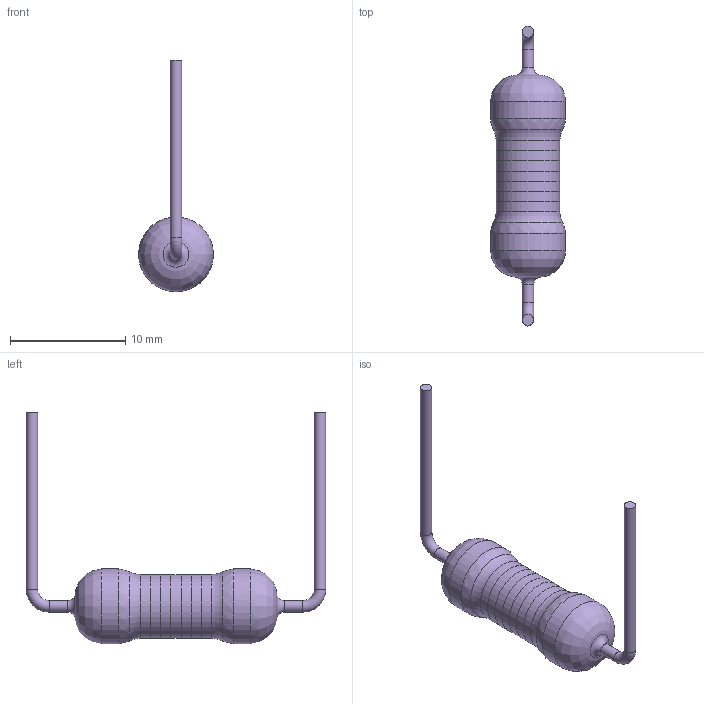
import cadquery as cq
import math


cap_radius = 6.5 / 2
body_half_length = 8.75
cap_inner_y = 5.0
dome_radius = 2.275
shoulder_radius = 2.0

core_radius = 5.525 / 2
band_radius = 5.535 / 2
band_count = 4

wire_radius = 1.0 / 2
lead_spacing = 25.0
bend_radius = 1.5
lead_top_z = 16.85
meniscus_radius = 0.65

step = cap_radius - core_radius
half_shoulder = math.sqrt(shoulder_radius * step - (step / 2) ** 2)
shoulder_middle_y = cap_inner_y - half_shoulder
core_half_length = cap_inner_y - 2 * half_shoulder
shoulder_angle = math.asin(half_shoulder / shoulder_radius)
arc_middle_run = shoulder_radius * math.sin(shoulder_angle / 2)
arc_middle_drop = shoulder_radius * (1 - math.cos(shoulder_angle / 2))

band_width = 2 * core_half_length / (2 * band_count - 1)

dome_centre_r = cap_radius - dome_radius
dome_centre_y = body_half_length - dome_radius
flare_centre_r = wire_radius + meniscus_radius
centre_distance = dome_radius + meniscus_radius
centre_offset_r = flare_centre_r - dome_centre_r
flare_centre_y = dome_centre_y + math.sqrt(centre_distance**2 - centre_offset_r**2)
tangent_angle = math.asin(centre_offset_r / centre_distance)


def on_circle(centre, radius, angle):
    """Point (r, y) on a circle; the angle is measured from +Y towards +r."""
    return (centre[0] + radius * math.sin(angle), centre[1] + radius * math.cos(angle))


def end_cap():
    """Body of revolution from the +Y end of the core to the +Y lead."""
    dome_centre = (dome_centre_r, dome_centre_y)
    flare_centre = (flare_centre_r, flare_centre_y)
    dome_middle = on_circle(dome_centre, dome_radius, (tangent_angle + math.pi / 2) / 2)
    dome_end = on_circle(dome_centre, dome_radius, tangent_angle)
    flare_start_angle = math.pi + tangent_angle
    flare_end_angle = 3 * math.pi / 2
    flare_middle_angle = (flare_start_angle + flare_end_angle) / 2
    flare_middle = on_circle(flare_centre, meniscus_radius, flare_middle_angle)
    profile = (
        cq.Workplane("XY")
        .moveTo(0, core_half_length)
        .lineTo(core_radius, core_half_length)
        .threePointArc(
            (core_radius + arc_middle_drop, core_half_length + arc_middle_run),
            (core_radius + step / 2, shoulder_middle_y),
        )
        .threePointArc(
            (cap_radius - arc_middle_drop, cap_inner_y - arc_middle_run),
            (cap_radius, cap_inner_y),
        )
        .lineTo(cap_radius, dome_centre_y)
        .threePointArc(dome_middle, dome_end)
        .threePointArc(flare_middle, (wire_radius, flare_centre_y))
        .lineTo(0, flare_centre_y)
        .close()
    )
    return profile.revolve(360, (0, 0, 0), (0, 1, 0))


def disc(radius, start_y, width):
    """Solid cylinder along +Y, centred on the body axis."""
    return cq.Workplane("XZ", origin=(0, start_y, 0)).circle(radius).extrude(-width)


def colour_band(index):
    """Thin raised ring around the core, counted from the -Y end."""
    start_y = -core_half_length + 2 * index * band_width
    return disc(band_radius, start_y, band_width)


def lead():
    """Bent wire leaving the +Y end and turning up."""
    lead_y = lead_spacing / 2
    bend_start_y = lead_y - bend_radius
    bend_middle = (
        bend_start_y + bend_radius * math.sin(math.pi / 4),
        bend_radius * (1 - math.cos(math.pi / 4)),
    )
    path = (
        cq.Workplane("YZ")
        .moveTo(flare_centre_y, 0)
        .lineTo(bend_start_y, 0)
        .threePointArc(bend_middle, (lead_y, bend_radius))
        .lineTo(lead_y, lead_top_z)
    )
    return cq.Workplane("XZ", origin=(0, flare_centre_y, 0)).circle(wire_radius).sweep(path)


end_with_lead = end_cap().union(lead())
core = disc(core_radius, -core_half_length, 2 * core_half_length)
result = core.union(end_with_lead).union(end_with_lead.mirror("XZ"))
for band_index in range(band_count):
    result = result.union(colour_band(band_index))